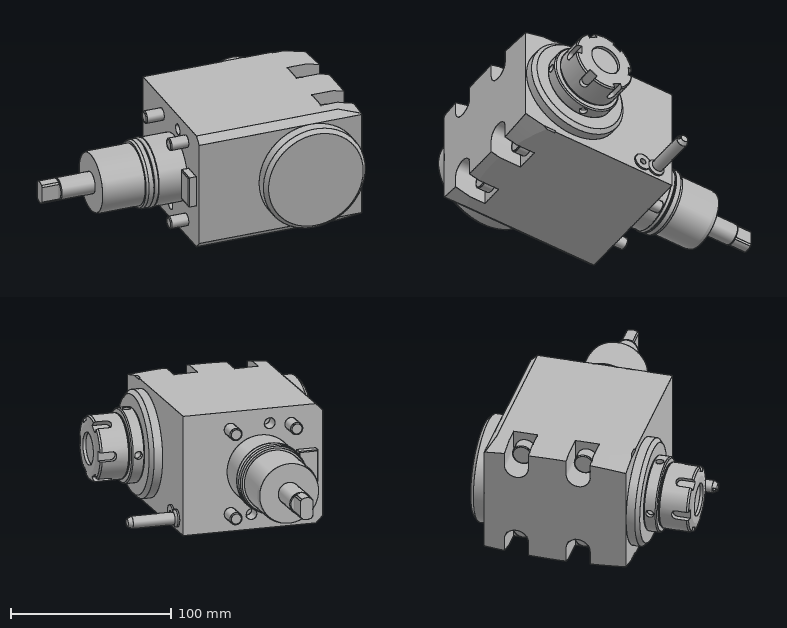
import cadquery as cq
import math


block_left = -51.0
block_right = 41.0
block_length = 110.0
block_height = 78.0
half_height = block_height / 2
right_edge_chamfer = 4.5
left_edge_chamfer = 0.9
left_edge_chamfer_start = 87.6

relief_center_x = -4.0
relief_center_y = 0.0
relief_face_radius = 104.0
relief_angle = 15.0

screw_x = 20.0
screw_z = 27.5
screw_diameter = 8.0
screw_tip = -12.0
screw_tip_chamfer = 0.7
head_diameter = 13.0
head_height = 8.0
head_chamfer = 0.6
slot_width = 15.5
slot_depth = 22.0
slot_floor_y = block_length - slot_depth
dowel_x = 6.0
dowel_z = 29.1
dowel_diameter = 7.0
dowel_depth = 10.0

key_width = 12.5
key_height = 20.5
key_depth = 5.2
key_center_x = 30.0
key_chamfer = 0.6

collar_radius = 22.1
collar_end = -27.8
collar_chamfer_length = 1.7
collar_chamfer_depth = 0.7
ring_groove_start = -19.2
ring_groove_end = -22.8
ring_groove_radius = 21.0
seal_radius = 1.35
seal_center_radius = 21.3
shank_radius = 20.0
shank_end = -56.3
shank_chamfer_length = 2.3
shank_chamfer_depth = 0.6
shaft_radius = 7.15
shaft_step = -79.3
shaft_step_chamfer = 0.6
shaft_end = -91.0
tang_half_width = 4.0
tang_flat_half_height = 5.1
tang_corner_x = 3.2
tang_corner_z = 6.5
tang_root_fillet = 1.0

spindle_y = 75.0
left_flange_radius = 34.4
right_flange_radius = 34.5
flange_chamfer = 2.5
left_flange_face = -59.1
right_flange_face = 50.5

ring_radius = 24.0
ring_face = -67.7
ring_chamfer = 0.8
ring_hole_count = 4
ring_hole_diameter = 5.0
ring_hole_depth = 3.0
ring_hole_point = 1.5
neck_radius = 20.0

nut_back = -68.5
nut_front = -88.6
nut_radius = 21.0
nut_back_chamfer = 0.5
nut_shoulder_x = -86.3
nut_rim_x = -87.5
nut_rim_radius = 20.3
nut_face_radius = 15.0
nut_recess_radius = 10.35
nut_recess_depth = 2.0
nut_slot_count = 6
nut_slot_width = 6.0
nut_slot_end = -76.8
nut_slot_floor_radius = 17.6

pin_y = 12.5
fitting_z = -30.9
pin_radius = 4.0
pin_tip_x = -83.8
pin_tip_length = 2.8
pin_tip_radius = 2.5
jet_diameter = 1.8
jet_depth = 2.5
jet_angle = 45.0
seat_radius = 5.7
seat_rim_x = -52.1
seat_top_x = -53.5
plug_y = 22.4
plug_radius = 5.7
plug_face_x = -52.1
plug_socket_diameter = 4.0
plug_socket_depth = 3.0


def turned_about_x(points, y=0.0, z=0.0):
    """Revolve (x, radius) points about the X direction through (y, z)."""
    return cq.Workplane("XY").polyline(points).close().revolve(360, (0, 0), (1, 0)).translate((0, y, z))


def turned_about_y(points, x=0.0, z=0.0):
    """Revolve (radius, y) points about the Y direction through (x, z)."""
    return cq.Workplane("XY").polyline(points).close().revolve(360, (0, 0), (0, 1)).translate((x, 0, z))


def relief_cone():
    """Double cone about Z that keeps the mid-height and bevels both faces at the rear."""
    mid_radius = relief_face_radius + half_height / math.tan(math.radians(relief_angle))
    points = [(0, -half_height), (relief_face_radius, -half_height), (mid_radius, 0),
              (relief_face_radius, half_height), (0, half_height)]
    return (cq.Workplane("XZ").polyline(points).close().revolve(360, (0, 0), (0, 1))
            .translate((relief_center_x, relief_center_y, 0)))


def left_edge_bevel(side):
    """Small chamfer along the rear part of the upper or lower left edge."""
    corner_z = side * half_height
    points = [(block_left, corner_z), (block_left + left_edge_chamfer, corner_z),
              (block_left, corner_z - side * left_edge_chamfer)]
    return (cq.Workplane("XZ", origin=(0, block_length, 0)).polyline(points).close()
            .extrude(block_length - left_edge_chamfer_start))


def housing_block():
    block = (cq.Workplane("XY").box(block_right - block_left, block_length, block_height)
             .translate(((block_left + block_right) / 2, block_length / 2, 0))
             .edges("|Y and >X").chamfer(right_edge_chamfer))
    block = block.intersect(relief_cone())
    for side in (-1, 1):
        block = block.cut(left_edge_bevel(side))
    return block


def screw_slot(x, side):
    """Round-bottomed slot at the rear, open to the back and to the top or bottom face."""
    bore = (cq.Workplane("XZ", origin=(x, block_length, side * screw_z))
            .circle(slot_width / 2).extrude(slot_depth))
    opening_height = half_height - screw_z
    opening = (cq.Workplane("XY").box(slot_width, slot_depth, opening_height)
               .translate((x, block_length - slot_depth / 2, side * (screw_z + opening_height / 2))))
    return bore.union(opening)


def screw(x, z):
    head_radius = head_diameter / 2
    head_top = slot_floor_y + head_height
    thread_radius = screw_diameter / 2
    return turned_about_y([
        (0, head_top), (head_radius - head_chamfer, head_top), (head_radius, head_top - head_chamfer),
        (head_radius, slot_floor_y), (thread_radius, slot_floor_y),
        (thread_radius, screw_tip + screw_tip_chamfer),
        (thread_radius - screw_tip_chamfer, screw_tip), (0, screw_tip)], x, z)


def dowel_hole(side):
    return (cq.Workplane("XZ", origin=(side * dowel_x, 0, side * dowel_z))
            .circle(dowel_diameter / 2).extrude(-dowel_depth))


def front_key():
    return (cq.Workplane("XZ", origin=(key_center_x, 0, 0)).rect(key_width, key_height)
            .extrude(key_depth).faces("<Y").chamfer(key_chamfer))


def shank():
    body = turned_about_y([
        (0, 0), (collar_radius, 0), (collar_radius, ring_groove_start),
        (ring_groove_radius, ring_groove_start), (ring_groove_radius, ring_groove_end),
        (collar_radius, ring_groove_end), (collar_radius, collar_end + collar_chamfer_length),
        (collar_radius - collar_chamfer_depth, collar_end), (shank_radius, collar_end),
        (shank_radius, shank_end + shank_chamfer_length),
        (shank_radius - shank_chamfer_depth, shank_end), (0, shank_end)])
    seal_y = ring_groove_start - seal_radius
    seal = (cq.Workplane("XY").center(seal_center_radius, seal_y).circle(seal_radius)
            .revolve(360, (-seal_center_radius, 0), (-seal_center_radius, 1)))
    return body.union(seal)


def tang_root(side):
    """Concave fillet between one flat of the tang and the end of the round shaft."""
    flat_x = side * tang_half_width
    outer_x = side * (tang_half_width + tang_root_fillet)
    bend_x = outer_x - side * tang_root_fillet * math.sqrt(0.5)
    bend_y = shaft_step - tang_root_fillet * (1 - math.sqrt(0.5))
    return (cq.Workplane("XY", origin=(0, 0, -tang_flat_half_height))
            .moveTo(flat_x, shaft_step).lineTo(outer_x, shaft_step)
            .threePointArc((bend_x, bend_y), (flat_x, shaft_step - tang_root_fillet)).close()
            .extrude(2 * tang_flat_half_height))


def drive_shaft():
    """Round shaft ending in a flat tang with bevelled long edges."""
    shaft = turned_about_y([
        (0, shank_end), (shaft_radius, shank_end), (shaft_radius, shaft_step + shaft_step_chamfer),
        (shaft_radius - shaft_step_chamfer, shaft_step), (0, shaft_step)])
    quarter = [(tang_half_width, tang_flat_half_height), (tang_corner_x, tang_corner_z),
               (tang_corner_x, shaft_radius)]
    upper = quarter + [(-x, z) for x, z in reversed(quarter)]
    outline = upper + [(-x, -z) for x, z in upper]
    tang_plane = cq.Workplane("XZ", origin=(0, shaft_step, 0))
    tang_length = shaft_step - shaft_end
    tang = tang_plane.polyline(outline).close().extrude(tang_length)
    tang = tang.intersect(tang_plane.circle(shaft_radius).extrude(tang_length))
    shaft = shaft.union(tang)
    for side in (-1, 1):
        shaft = shaft.union(tang_root(side))
    return shaft


def flange(inner_x, face_x, radius):
    direction = math.copysign(1, face_x)
    return turned_about_x([
        (inner_x, 0), (inner_x, radius), (face_x - direction * flange_chamfer, radius),
        (face_x, radius - flange_chamfer), (face_x, 0)], spindle_y)


def spindle_ring():
    ring = turned_about_x([
        (left_flange_face, 0), (left_flange_face, ring_radius - ring_chamfer),
        (left_flange_face - ring_chamfer, ring_radius), (ring_face + ring_chamfer, ring_radius),
        (ring_face, ring_radius - ring_chamfer), (ring_face, neck_radius),
        (nut_back, neck_radius), (nut_back, 0)])
    hole_radius = ring_hole_diameter / 2
    floor = ring_radius - ring_hole_depth
    hole = (cq.Workplane("XZ")
            .polyline([(0, ring_radius), (hole_radius, ring_radius), (hole_radius, floor),
                       (0, floor - ring_hole_point)])
            .close().revolve(360, (0, 0), (0, 1))
            .translate(((left_flange_face + ring_face) / 2, 0, 0)))
    for i in range(ring_hole_count):
        ring = ring.cut(hole.rotate((0, 0, 0), (1, 0, 0), i * 360 / ring_hole_count))
    return ring.translate((0, spindle_y, 0))


def coolant_pin():
    return turned_about_x([
        (block_left, 0), (block_left, seat_radius), (seat_rim_x, seat_radius), (seat_top_x, pin_radius),
        (pin_tip_x + pin_tip_length, pin_radius), (pin_tip_x, pin_tip_radius), (pin_tip_x, 0)],
        pin_y, fitting_z)


def jet_hole():
    """Outlet drilled into the bevelled tip of the pin, slanted towards the spindle."""
    bevel_x = pin_tip_x + pin_tip_length / 2
    bevel_y = pin_y + (pin_radius + pin_tip_radius) / 2
    return (cq.Workplane("YZ").circle(jet_diameter / 2).extrude(2 * jet_depth)
            .translate((-jet_depth, 0, 0)).rotate((0, 0, 0), (0, 0, 1), -jet_angle)
            .translate((bevel_x, bevel_y, fitting_z)))


def plug():
    return turned_about_x([
        (block_left, 0), (block_left, plug_radius), (plug_face_x, plug_radius), (plug_face_x, 0)],
        plug_y, fitting_z)


def plug_socket():
    return (cq.Workplane("YZ", origin=(plug_face_x, plug_y, fitting_z))
            .circle(plug_socket_diameter / 2).extrude(plug_socket_depth))


def build_housing():
    housing = housing_block()
    for x in (-screw_x, screw_x):
        for side in (-1, 1):
            housing = housing.cut(screw_slot(x, side)).union(screw(x, side * screw_z))
    housing = housing.union(front_key()).union(shank()).union(drive_shaft())
    housing = housing.union(flange(block_left, left_flange_face, left_flange_radius))
    housing = housing.union(flange(block_right, right_flange_face, right_flange_radius))
    housing = housing.union(spindle_ring())
    housing = housing.union(plug()).cut(plug_socket())
    housing = housing.union(coolant_pin()).cut(jet_hole())
    for side in (-1, 1):
        housing = housing.cut(dowel_hole(side))
    return housing


def nut_slot():
    """Round-ended wrench slot on the +Z side of the nut, open at its front."""
    end_center = nut_slot_end - nut_slot_width / 2
    plane = cq.Workplane("XY", origin=(0, 0, nut_slot_floor_radius))
    height = nut_radius - nut_slot_floor_radius
    straight = (plane.center((nut_front + end_center) / 2, 0)
                .rect(end_center - nut_front, nut_slot_width).extrude(height))
    return straight.union(plane.center(end_center, 0).circle(nut_slot_width / 2).extrude(height))


def build_clamping_nut():
    recess_floor = nut_front + nut_recess_depth
    nut = turned_about_x([
        (nut_back, 0), (nut_back, nut_radius - nut_back_chamfer), (nut_back - nut_back_chamfer, nut_radius),
        (nut_shoulder_x, nut_radius), (nut_rim_x, nut_rim_radius), (nut_front, nut_face_radius),
        (nut_front, nut_recess_radius), (recess_floor, nut_recess_radius), (recess_floor, 0)])
    slot = nut_slot()
    for i in range(nut_slot_count):
        angle = (i + 0.5) * 360 / nut_slot_count
        nut = nut.cut(slot.rotate((0, 0, 0), (1, 0, 0), angle))
    return nut.translate((0, spindle_y, 0))


housing = build_housing()
clamping_nut = build_clamping_nut()
result = cq.Compound.makeCompound([housing.solids().val(), clamping_nut.solids().val()])